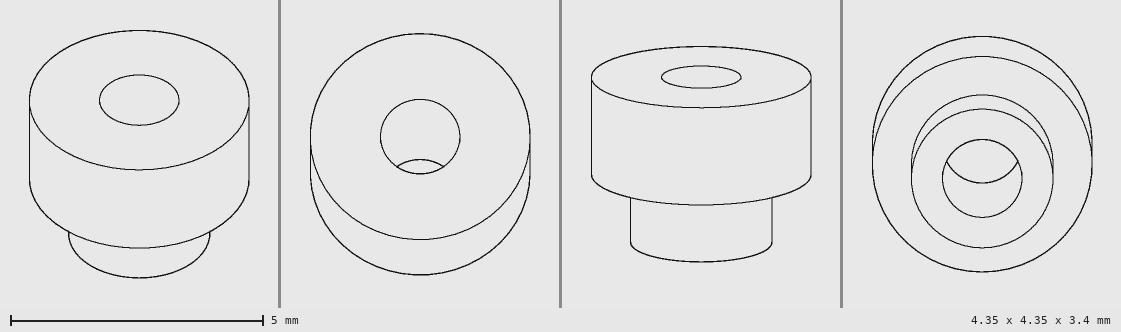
import cadquery as cq

head_diameter = 4.35
head_height = 2.0
shank_diameter = 2.8
shank_height = 1.4
bore_diameter = 1.57

total_height = shank_height + head_height


def cylinder(diameter, height, base_z):
    """Solid cylinder on the Z axis, rising from base_z."""
    return cq.Workplane("XY").workplane(offset=base_z).circle(diameter / 2).extrude(height)


shank = cylinder(shank_diameter, shank_height, 0)
head = cylinder(head_diameter, head_height, shank_height)
bore = cylinder(bore_diameter, total_height, 0)

result = shank.union(head).cut(bore)